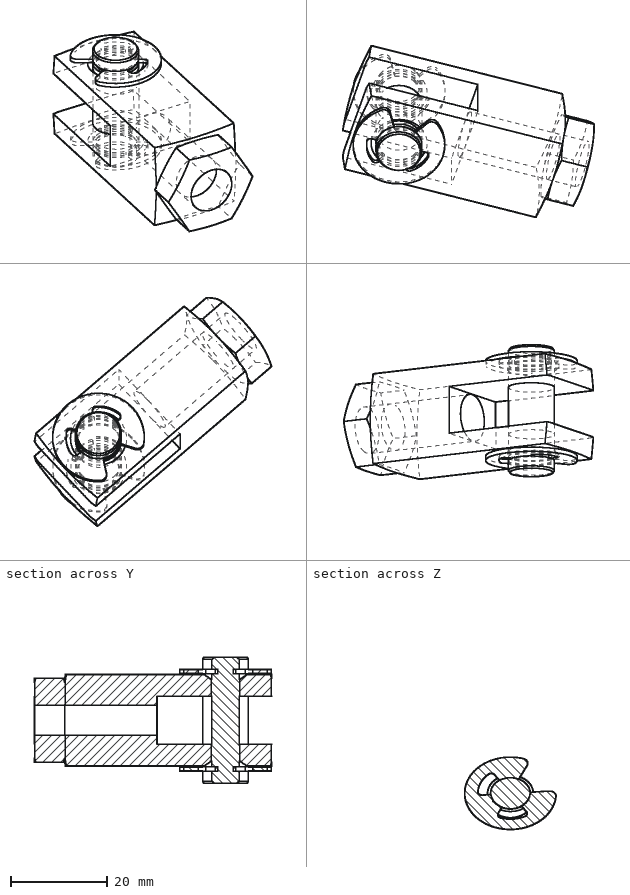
import cadquery as cq
import math

total_length = 49.25

width = 19.05
clevis_length = 42.95
slot_width = 9.9
slot_depth = 23.8
end_bevel_angle = 10
fork_bevel_radius = width / 2
shank_bevel_radius = 8.75
pin_setback = 9.55
clevis_start = -pin_setback
clevis_end = clevis_start + clevis_length
slot_end = clevis_start + slot_depth

bore_radius = 4.85

pin_radius = 4.78
pin_length = 26.2
pin_chamfer_height = 0.45
pin_chamfer_width = 0.3
groove_radius = 4.15

countersink_radius = 5.8
countersink_depth = countersink_radius - pin_radius

clip_radius = width / 2
clip_thickness = 0.9
clip_gap = 0.15
clip_bottom = width / 2 + clip_gap
clip_tip_fillet = 1.4
window_radius = 6.75
window_fillet = 0.85
sector_angle = 60
mouth_start_angle = 240
window_start_angles = (0, 120)

nut_thickness = total_length - clevis_length
nut_corner_diameter = 20.25
nut_flats = nut_corner_diameter * math.cos(math.pi / 6)
nut_bevel_angle = 15
nut_bevel_radius = nut_flats / 2


def axial_cylinder(radius, start, length):
    """Cylinder along X that begins at x = start."""
    return cq.Workplane("YZ", origin=(start, 0, 0)).circle(radius).extrude(length)


def bevelled_envelope(start, end, outer_radius, start_radius, start_angle, end_radius, end_angle):
    """Round bar along X whose ends slope back outside the given radii."""
    start_drop = (outer_radius - start_radius) * math.tan(math.radians(start_angle))
    end_drop = (outer_radius - end_radius) * math.tan(math.radians(end_angle))
    return (
        cq.Workplane("XY")
        .moveTo(start, 0)
        .lineTo(start, start_radius)
        .lineTo(start + start_drop, outer_radius)
        .lineTo(end - end_drop, outer_radius)
        .lineTo(end, end_radius)
        .lineTo(end, 0)
        .close()
        .revolve(360, (0, 0, 0), (1, 0, 0))
    )


def make_clevis():
    """Fork and threaded shank in one piece."""
    body = cq.Workplane("YZ", origin=(clevis_start, 0, 0)).rect(width, width).extrude(clevis_length)
    body = body.intersect(
        bevelled_envelope(
            clevis_start, clevis_end, width,
            fork_bevel_radius, end_bevel_angle,
            shank_bevel_radius, end_bevel_angle,
        )
    )

    slot = cq.Workplane("XY").box(slot_depth, width, slot_width)
    body = body.cut(slot.translate((clevis_start + slot_depth / 2, 0, 0)))

    body = body.cut(axial_cylinder(bore_radius, slot_end, clevis_end - slot_end))

    body = body.cut(cq.Workplane("XY").circle(pin_radius).extrude(width / 2, both=True))
    for side in (1, -1):
        countersink = cq.Solid.makeCone(
            countersink_radius, pin_radius, countersink_depth,
            cq.Vector(0, 0, side * width / 2), cq.Vector(0, 0, -side),
        )
        body = body.cut(cq.Workplane(countersink))
    return body


def make_pin():
    """Chamfered pin with a clip groove near each end."""
    half_length = pin_length / 2
    shoulder = half_length - pin_chamfer_height
    groove_end = clip_bottom + clip_thickness
    return (
        cq.Workplane("XZ")
        .moveTo(0, -half_length)
        .lineTo(pin_radius - pin_chamfer_width, -half_length)
        .lineTo(pin_radius, -shoulder)
        .lineTo(pin_radius, -groove_end)
        .lineTo(groove_radius, -groove_end)
        .lineTo(groove_radius, -clip_bottom)
        .lineTo(pin_radius, -clip_bottom)
        .lineTo(pin_radius, clip_bottom)
        .lineTo(groove_radius, clip_bottom)
        .lineTo(groove_radius, groove_end)
        .lineTo(pin_radius, groove_end)
        .lineTo(pin_radius, shoulder)
        .lineTo(pin_radius - pin_chamfer_width, half_length)
        .lineTo(0, half_length)
        .close()
        .revolve(360, (0, 0, 0), (0, 1, 0))
    )


def clip_layer():
    """Workplane on the underside of the upper clip."""
    return cq.Workplane("XY", origin=(0, 0, clip_bottom))


def polar(radius, angle):
    """Point at an angle in degrees about the pin axis."""
    return (radius * math.cos(math.radians(angle)), radius * math.sin(math.radians(angle)))


def clip_sector(radius, start_angle):
    """Pie slice about the pin axis, as thick as a clip."""
    return (
        clip_layer()
        .lineTo(*polar(radius, start_angle))
        .threePointArc(
            polar(radius, start_angle + sector_angle / 2),
            polar(radius, start_angle + sector_angle),
        )
        .close()
        .extrude(clip_thickness)
    )


def fillet_rim_corners(plate, rim_radius, fillet_radius, start_angle):
    """Round the two upright edges where the rim meets the sides of a sector."""
    corners = [polar(rim_radius, start_angle), polar(rim_radius, start_angle + sector_angle)]
    for x, y in corners:
        nearest = cq.selectors.NearestToPointSelector((x, y, clip_bottom + clip_thickness / 2))
        plate = plate.edges("|Z").edges(nearest).fillet(fillet_radius)
    return plate


def make_clip():
    """Clip on the +Z side, with its mouth toward -Y and two windows on the far side of the pin."""
    clip = clip_layer().circle(clip_radius).extrude(clip_thickness)
    clip = clip.cut(clip_sector(2 * clip_radius, mouth_start_angle))
    clip = fillet_rim_corners(clip, clip_radius, clip_tip_fillet, mouth_start_angle)
    for start_angle in window_start_angles:
        window = clip_sector(window_radius, start_angle)
        clip = clip.cut(fillet_rim_corners(window, window_radius, window_fillet, start_angle))
    return clip.cut(clip_layer().circle(groove_radius).extrude(clip_thickness))


def make_nut():
    """Hexagonal nut against the shank end of the clevis, with both ends bevelled."""
    nut_end = clevis_end + nut_thickness
    hexagon = (
        cq.Workplane("YZ", origin=(clevis_end, 0, 0))
        .polygon(6, nut_corner_diameter)
        .extrude(nut_thickness)
    )
    envelope = bevelled_envelope(
        clevis_end, nut_end, nut_corner_diameter,
        nut_bevel_radius, nut_bevel_angle,
        nut_bevel_radius, nut_bevel_angle,
    )
    return hexagon.intersect(envelope).cut(axial_cylinder(bore_radius, clevis_end, nut_thickness))


clevis = make_clevis()
pin = make_pin()
upper_clip = make_clip()
lower_clip = upper_clip.mirror("XY")
nut = make_nut()
result = cq.Compound.makeCompound([clevis.val(), pin.val(), upper_clip.val(), lower_clip.val(), nut.val()])